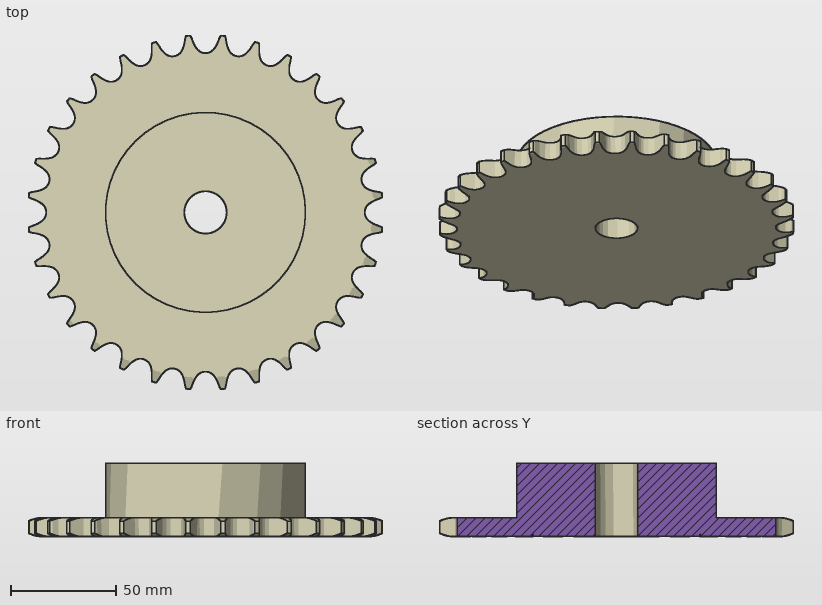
import cadquery as cq
import math

TEETH = 32
OUTER_WIDTH = 168.3
DISC_THICKNESS = 9.1

PITCH_RADIUS = 81.0
SEAT_DIAMETER = 10.3
SEAT_HALF_ANGLE = 53.1
WORKING_RADIUS = 13.3
WORKING_ANGLE = 16.3
STRAIGHT_LENGTH = 1.41
TOPPING_RADIUS = 8.2
CUTTER_OVERRUN = 0.5

SHOULDER_RADIUS = 16.0
SHOULDER_START_RADIUS = 77.4

TOTAL_HEIGHT = 35.0
HUB_DIAMETER = 95.0
BORE_DIAMETER = 20.0


def polar(center, radius, angle):
    """Point at a radius and an angle in degrees around a center."""
    turn = math.radians(angle)
    return (center[0] + radius * math.cos(turn), center[1] + radius * math.sin(turn))


def mirrored(point):
    """Point reflected in the centre line of the gap."""
    return (point[0], -point[1])


seat_radius = SEAT_DIAMETER / 2
seat_center = (PITCH_RADIUS, 0)
seat_end_angle = 180 - SEAT_HALF_ANGLE
seat_bottom = polar(seat_center, seat_radius, 180)
seat_end = polar(seat_center, seat_radius, seat_end_angle)

working_end_angle = seat_end_angle - WORKING_ANGLE
working_center = polar(seat_end, WORKING_RADIUS, seat_end_angle - 180)
working_middle = polar(working_center, WORKING_RADIUS, seat_end_angle - WORKING_ANGLE / 2)
working_end = polar(working_center, WORKING_RADIUS, working_end_angle)

straight_end = polar(working_end, STRAIGHT_LENGTH, working_end_angle - 90)

topping_center = polar(straight_end, TOPPING_RADIUS, working_end_angle)
topping_start_angle = working_end_angle - 180


def topping_angle(x):
    """Angle around the topping centre at which the topping arc reaches x."""
    return -math.degrees(math.acos((x - topping_center[0]) / TOPPING_RADIUS))


tooth_corner = polar(topping_center, TOPPING_RADIUS, topping_angle(OUTER_WIDTH / 2))
tip_radius = math.hypot(*tooth_corner)

topping_end_angle = topping_angle(tip_radius + CUTTER_OVERRUN)
topping_middle_angle = (topping_start_angle + topping_end_angle) / 2
topping_end = polar(topping_center, TOPPING_RADIUS, topping_end_angle)
topping_middle = polar(topping_center, TOPPING_RADIUS, topping_middle_angle)

shoulder_width = tip_radius - SHOULDER_START_RADIUS


def shoulder_drop(width):
    """Height lost by the shoulder arc at a distance from its tangent point on the face."""
    return SHOULDER_RADIUS - math.sqrt(SHOULDER_RADIUS**2 - width**2)


def make_blank():
    """Disc on Z = 0 with a rounded shoulder at the rim of each face."""
    half_width = shoulder_width / 2
    rim_drop = shoulder_drop(shoulder_width)
    middle_drop = shoulder_drop(half_width)
    middle_radius = SHOULDER_START_RADIUS + half_width
    return (
        cq.Workplane("XZ")
        .lineTo(SHOULDER_START_RADIUS, 0)
        .threePointArc((middle_radius, middle_drop), (tip_radius, rim_drop))
        .lineTo(tip_radius, DISC_THICKNESS - rim_drop)
        .threePointArc(
            (middle_radius, DISC_THICKNESS - middle_drop),
            (SHOULDER_START_RADIUS, DISC_THICKNESS),
        )
        .lineTo(0, DISC_THICKNESS)
        .close()
        .revolve(360, (0, 0, 0), (0, 1, 0))
    )


def make_gap():
    """Cutter for one tooth gap, open past the tips."""
    return (
        cq.Workplane("XY")
        .moveTo(*mirrored(seat_end))
        .threePointArc(seat_bottom, seat_end)
        .threePointArc(working_middle, working_end)
        .lineTo(*straight_end)
        .threePointArc(topping_middle, topping_end)
        .lineTo(*mirrored(topping_end))
        .threePointArc(mirrored(topping_middle), mirrored(straight_end))
        .lineTo(*mirrored(working_end))
        .threePointArc(mirrored(working_middle), mirrored(seat_end))
        .close()
        .extrude(DISC_THICKNESS)
    )


sprocket = make_blank()
gap = make_gap()
for index in range(TEETH):
    sprocket = sprocket.cut(gap.rotate((0, 0, 0), (0, 0, 1), index * 360 / TEETH))

hub = cq.Workplane("XY").circle(HUB_DIAMETER / 2).extrude(TOTAL_HEIGHT)
bore = cq.Workplane("XY").circle(BORE_DIAMETER / 2).extrude(TOTAL_HEIGHT)
result = sprocket.union(hub).cut(bore)